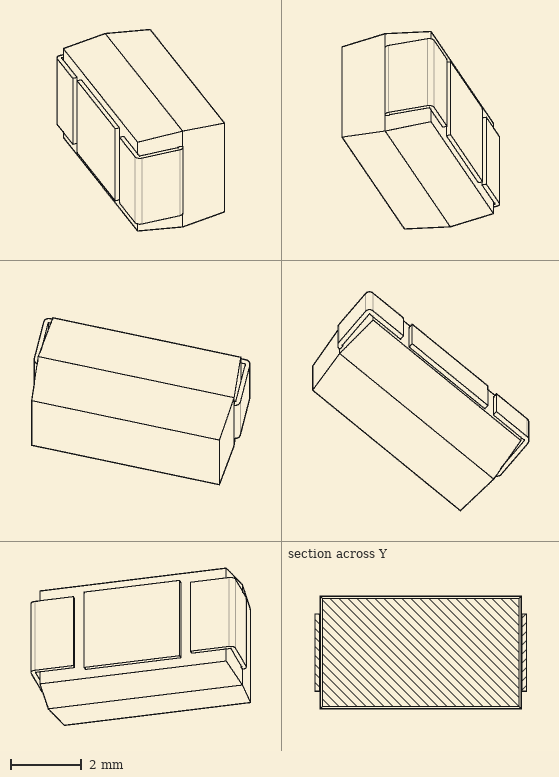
import cadquery as cq
import math

overall_length = 6.0
overall_depth = 2.8
case_height = 3.2

lead_thickness = 0.13
lead_width = 2.195
foot_length = 1.285
bend_radius = 0.15
pad_length = 2.8
pad_height = 2.4

draft_angle = 5.0
case_length = overall_length - 2 * bend_radius
half_depth = (overall_depth - lead_thickness) / 2
taper_inset = half_depth * math.tan(math.radians(draft_angle))

case_front_y = -half_depth
foot_face_y = case_front_y - lead_thickness
lead_outer_x = -overall_length / 2


def make_case_half(direction):
    """Half of the case, tapering away from the parting plane along Y (+1 back, -1 front)."""
    return (
        cq.Workplane("XZ")
        .rect(case_length, case_height)
        .workplane(offset=-direction * half_depth)
        .rect(case_length - 2 * taper_inset, case_height - 2 * taper_inset)
        .loft(ruled=True)
    )


def make_left_lead(front_half):
    """Bent strip from the parting plane down the case end and under its front face."""
    inner_x = lead_outer_x + lead_thickness
    stub_end_x = -case_length / 2 + taper_inset
    bend_x = lead_outer_x + bend_radius
    foot_end_x = lead_outer_x + foot_length
    bend_rise = bend_radius * (1 - math.sqrt(0.5))

    blank = (
        cq.Workplane("XY")
        .workplane(offset=-lead_width / 2)
        .moveTo(stub_end_x, 0)
        .lineTo(bend_x, 0)
        .threePointArc((lead_outer_x + bend_rise, -bend_rise), (lead_outer_x, -bend_radius))
        .lineTo(lead_outer_x, foot_face_y + bend_radius)
        .threePointArc((lead_outer_x + bend_rise, foot_face_y + bend_rise), (bend_x, foot_face_y))
        .lineTo(foot_end_x, foot_face_y)
        .lineTo(foot_end_x, case_front_y)
        .lineTo(inner_x, case_front_y)
        .lineTo(inner_x, -lead_thickness)
        .lineTo(stub_end_x, -lead_thickness)
        .close()
        .extrude(lead_width)
    )
    return blank.cut(front_half)


def make_centre_pad():
    """Flat plate on the front face of the case, flush with the lead feet."""
    return (
        cq.Workplane("XZ", origin=(0, case_front_y, 0))
        .rect(pad_length, pad_height)
        .extrude(lead_thickness)
    )


back_half = make_case_half(1)
front_half = make_case_half(-1)
centre_pad = make_centre_pad()

leads = []
for mirrored in (False, True):
    lead = make_left_lead(front_half)
    if mirrored:
        lead = lead.mirror("YZ")
    leads.append(lead.solids().val())

result = cq.Compound.makeCompound([back_half.val(), front_half.val(), centre_pad.val(), *leads])